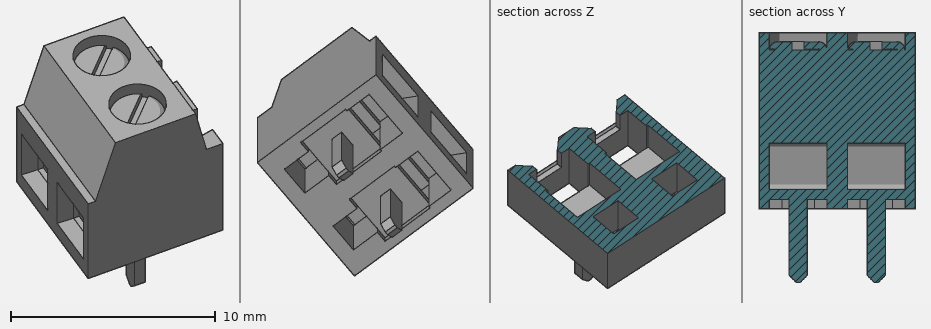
import cadquery as cq


PITCH = 3.812
POLE_COUNT = 2
LENGTH = PITCH * POLE_COUNT
DEPTH = 7.4
HEIGHT = 8.6
FRONT_LEDGE_HEIGHT = 5.1
FRONT_LEDGE_DEPTH = 0.4
REAR_LEDGE_HEIGHT = 5.9
REAR_LEDGE_Y = 6.5
ROOF_FRONT_Y = 1.5
ROOF_REAR_Y = 5.9

FUNNEL_SIZE = 2.79
NECK_SIZE = 1.6
FUNNEL_DEPTH = (FUNNEL_SIZE - NECK_SIZE) / 2
NECK_END_Y = 0.9
ENTRY_Z = 2.3

SCREW_DIAMETER = 2.8
SCREW_Y = 3.7
SCREW_RECESS = 0.44
SCREW_ROUNDING = 0.4
DRIVER_SLOT_WIDTH = 0.4
DRIVER_SLOT_DEPTH = 0.4
DRIVER_SLOT_ANGLE = -45

CAGE_SIZE = SCREW_DIAMETER
CAGE_WALL = 0.5
CAGE_BOTTOM_Z = 0.45
CAGE_CEILING_Z = 3.2
CAGE_CORNER_RADIUS = 0.29
CAGE_FRONT_Y = SCREW_Y - CAGE_SIZE / 2
CAGE_REAR_Y = SCREW_Y + CAGE_SIZE / 2
CAGE_TOP_Z = CAGE_CEILING_Z + CAGE_WALL

FRONT_CHAMBER_WIDTH = 2.61

GROOVE_REAR_WIDTH = NECK_SIZE
GROOVE_FRONT_WIDTH = 1.98
GROOVE_FLOOR_Z = CAGE_CEILING_Z
REAR_SLOT_END_Y = 6.59

PIN_LENGTH = 3.6
PIN_WIDTH = 0.9
PIN_THICKNESS = 0.6
PIN_Y = 3.6
PIN_TIP_WIDTH = 0.18
PIN_TIP_LENGTH = (PIN_WIDTH - PIN_TIP_WIDTH) / 2


def block(width, y_start, y_end, z_start, z_end):
    """Box centred on X = 0 between the given Y and Z limits."""
    size_y = y_end - y_start
    size_z = z_end - z_start
    return (
        cq.Workplane("XY")
        .box(width, size_y, size_z, centered=(True, False, False))
        .translate((0, y_start, z_start))
    )


def housing():
    side_profile = [
        (0, 0),
        (DEPTH, 0),
        (DEPTH, REAR_LEDGE_HEIGHT),
        (REAR_LEDGE_Y, REAR_LEDGE_HEIGHT),
        (ROOF_REAR_Y, HEIGHT),
        (ROOF_FRONT_Y, HEIGHT),
        (FRONT_LEDGE_DEPTH, FRONT_LEDGE_HEIGHT),
        (0, FRONT_LEDGE_HEIGHT),
    ]
    return cq.Workplane("YZ").polyline(side_profile).close().extrude(LENGTH / 2, both=True)


def wire_entry():
    funnel = (
        cq.Workplane("XZ")
        .center(0, ENTRY_Z)
        .rect(FUNNEL_SIZE, FUNNEL_SIZE)
        .workplane(offset=-FUNNEL_DEPTH)
        .rect(NECK_SIZE, NECK_SIZE)
        .loft(ruled=True)
    )
    neck = block(
        NECK_SIZE, FUNNEL_DEPTH, NECK_END_Y, ENTRY_Z - NECK_SIZE / 2, ENTRY_Z + NECK_SIZE / 2
    )
    return funnel.union(neck)


def clamp_chamber():
    """Space for the cage and the wire, open at the underside."""
    front = block(FRONT_CHAMBER_WIDTH, NECK_END_Y, CAGE_FRONT_Y, 0, CAGE_TOP_Z)
    return front.union(block(CAGE_SIZE, CAGE_FRONT_Y, CAGE_REAR_Y, 0, CAGE_TOP_Z))


def rear_groove():
    outline = [
        (-GROOVE_FRONT_WIDTH / 2, REAR_LEDGE_Y),
        (GROOVE_FRONT_WIDTH / 2, REAR_LEDGE_Y),
        (GROOVE_REAR_WIDTH / 2, DEPTH),
        (-GROOVE_REAR_WIDTH / 2, DEPTH),
    ]
    groove = (
        cq.Workplane("XY", origin=(0, 0, GROOVE_FLOOR_Z))
        .polyline(outline)
        .close()
        .extrude(REAR_LEDGE_HEIGHT - GROOVE_FLOOR_Z)
    )
    slot = block(NECK_SIZE, CAGE_REAR_Y, REAR_SLOT_END_Y, 0, GROOVE_FLOOR_Z)
    return groove.union(slot)


def screw_space():
    """Space left above the rounded screw head, including the driver slot."""
    radius = SCREW_DIAMETER / 2
    head_top_z = HEIGHT - SCREW_RECESS
    head_edge_z = head_top_z - SCREW_ROUNDING
    diagonal = SCREW_ROUNDING / 2**0.5
    flat_radius = radius - SCREW_ROUNDING
    above_head = (
        cq.Workplane("XZ")
        .moveTo(0, head_top_z)
        .lineTo(flat_radius, head_top_z)
        .threePointArc((flat_radius + diagonal, head_edge_z + diagonal), (radius, head_edge_z))
        .lineTo(radius, HEIGHT)
        .lineTo(0, HEIGHT)
        .close()
        .revolve(360, (0, 0, 0), (0, 1, 0))
    )
    driver_slot = (
        cq.Workplane("XY", origin=(0, 0, head_top_z - DRIVER_SLOT_DEPTH))
        .rect(SCREW_DIAMETER, DRIVER_SLOT_WIDTH)
        .extrude(DRIVER_SLOT_DEPTH)
        .rotate((0, 0, 0), (0, 0, 1), DRIVER_SLOT_ANGLE)
    )
    well = cq.Workplane("XY").circle(radius).extrude(HEIGHT)
    return above_head.union(driver_slot.intersect(well)).translate((0, SCREW_Y, 0))


def cage():
    """Floor, rear wall and roof of the clamp, with rounded corners inside."""
    shell = block(CAGE_SIZE, CAGE_FRONT_Y, CAGE_REAR_Y, CAGE_BOTTOM_Z, CAGE_TOP_Z)
    opening = block(
        CAGE_SIZE, CAGE_FRONT_Y, CAGE_REAR_Y - CAGE_WALL, CAGE_BOTTOM_Z + CAGE_WALL, CAGE_CEILING_Z
    )
    return shell.cut(opening.edges("|X and >Y").fillet(CAGE_CORNER_RADIUS))


def solder_pin():
    """Flat pin with a tapered tip, standing on the underside of the cage floor."""
    half_width = PIN_WIDTH / 2
    outline = [
        (-half_width, CAGE_BOTTOM_Z),
        (-half_width, PIN_TIP_LENGTH - PIN_LENGTH),
        (-PIN_TIP_WIDTH / 2, -PIN_LENGTH),
        (PIN_TIP_WIDTH / 2, -PIN_LENGTH),
        (half_width, PIN_TIP_LENGTH - PIN_LENGTH),
        (half_width, CAGE_BOTTOM_Z),
    ]
    return (
        cq.Workplane("XZ", origin=(0, PIN_Y, 0))
        .polyline(outline)
        .close()
        .extrude(PIN_THICKNESS / 2, both=True)
    )


pole_cuts = [wire_entry(), clamp_chamber(), rear_groove(), screw_space()]
pole_parts = [cage(), solder_pin()]

result = housing()
for pole in range(POLE_COUNT):
    offset = ((pole - (POLE_COUNT - 1) / 2) * PITCH, 0, 0)
    for space in pole_cuts:
        result = result.cut(space.translate(offset))
    for part in pole_parts:
        result = result.union(part.translate(offset))